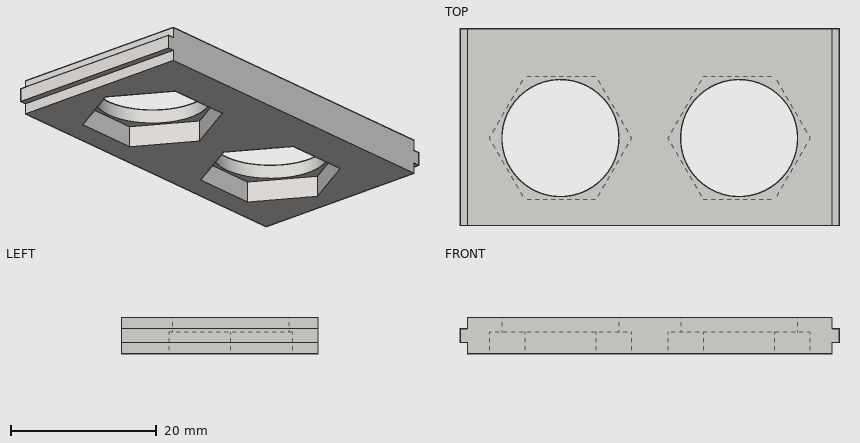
import cadquery as cq
import math

length = 52.0
width = 27.0
thickness = 5.0

tongue_reach = 1.0
tongue_height = 1.9

hole_diameter = 16.0
hole_spacing = 24.5
hole_offset_y = -1.5
round_depth = 2.0
hex_across_flats = 16.9

hex_depth = thickness - round_depth
hex_across_corners = hex_across_flats / math.cos(math.pi / 6)
hole_centers = [(side * hole_spacing / 2, hole_offset_y) for side in (-1, 1)]


def make_plate():
    """Rectangular plate with a tongue on each short end, resting on Z = 0."""
    body = cq.Workplane("XY").box(
        length - 2 * tongue_reach, width, thickness, centered=(True, True, False)
    )
    tongues = (
        cq.Workplane("XY")
        .box(length, width, tongue_height)
        .translate((0, 0, thickness / 2))
    )
    return body.union(tongues)


def make_openings():
    """Through holes, widened from below by hexagons with corners along X."""
    holes = (
        cq.Workplane("XY")
        .pushPoints(hole_centers)
        .circle(hole_diameter / 2)
        .extrude(thickness)
    )
    pockets = (
        cq.Workplane("XY")
        .pushPoints(hole_centers)
        .polygon(6, hex_across_corners)
        .extrude(hex_depth)
    )
    return holes.union(pockets)


result = make_plate().cut(make_openings())